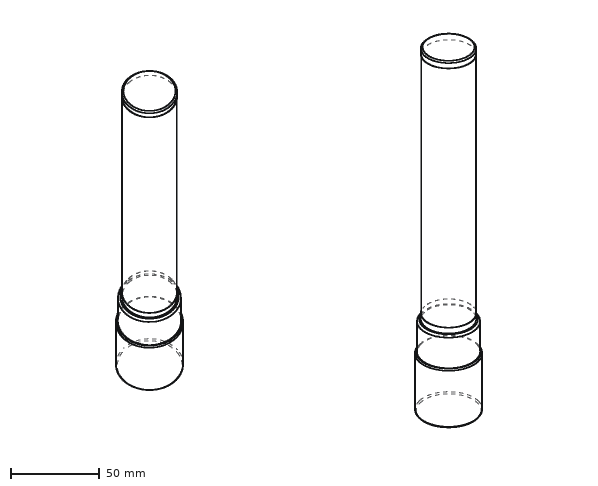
import cadquery as cq

grip_top = 39.0
collar_top = 60.8
base_top = 64.7
cap_bottom = 236.7
total_length = 241.3

grip_radius = 19.0
collar_radius = 17.9
neck_radius = 15.7
cap_overhang = 0.12
cap_radius = neck_radius
tube_radius = cap_radius - cap_overhang

grip_chamfer_width = 0.7
grip_chamfer_height = 1.0
collar_chamfer_width = 1.2
collar_chamfer_height = 1.5
cap_chamfer = 1.0


def revolve_profile(points):
    """Turn a closed (radius, height) outline about the Z axis."""
    return cq.Workplane("XZ").polyline(points).close().revolve(360, (0, 0, 0), (0, 1, 0))


def make_base():
    """Stepped base: wide grip, chamfered collar and a short neck."""
    return revolve_profile([
        (0, 0),
        (grip_radius - grip_chamfer_width, 0),
        (grip_radius, grip_chamfer_height),
        (grip_radius, grip_top - grip_chamfer_height),
        (grip_radius - grip_chamfer_width, grip_top),
        (collar_radius, grip_top),
        (collar_radius, collar_top - collar_chamfer_height),
        (collar_radius - collar_chamfer_width, collar_top),
        (neck_radius, collar_top),
        (neck_radius, base_top),
        (0, base_top),
    ])


def make_tube():
    """Long tube standing on the neck, ending in a slightly wider chamfered cap."""
    return revolve_profile([
        (0, base_top),
        (tube_radius, base_top),
        (tube_radius, cap_bottom),
        (cap_radius, cap_bottom),
        (cap_radius, total_length - cap_chamfer),
        (cap_radius - cap_chamfer, total_length),
        (0, total_length),
    ])


base = make_base()
tube = make_tube()

result = cq.Compound.makeCompound([base.val(), tube.val()])